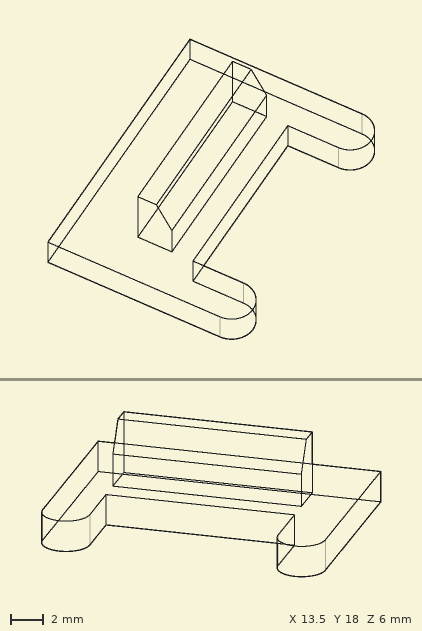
import cadquery as cq

plate_length = 18.0
overall_depth = 13.5
plate_thickness = 2.0

arm_width = plate_length / 6
arm_end_radius = arm_width / 2
notch_width = plate_length - 2 * arm_width
notch_floor_x = 8.48

overall_height = 6.0
rib_back_x = 4.63
rib_thickness = 2.38
rib_top_thickness = 1.3
slope_height = 1.89


def make_plate():
    """Plate body with one arm along each end."""
    body = cq.Workplane("XY").box(
        notch_floor_x, plate_length, plate_thickness, centered=(False, True, False)
    )
    arm_center_y = (plate_length - arm_width) / 2
    for side in (-1, 1):
        body = body.union(make_arm(side * arm_center_y))
    return body


def make_arm(center_y):
    """Straight arm from the back edge, closed by a half-round end."""
    end_center_x = overall_depth - arm_end_radius
    return (
        cq.Workplane("XY")
        .moveTo(0, center_y - arm_end_radius)
        .lineTo(end_center_x, center_y - arm_end_radius)
        .threePointArc((overall_depth, center_y), (end_center_x, center_y + arm_end_radius))
        .lineTo(0, center_y + arm_end_radius)
        .close()
        .extrude(plate_thickness)
    )


def make_rib():
    """Rib profile in XZ, extruded evenly to both sides of the middle."""
    rib_front_x = rib_back_x + rib_thickness
    return (
        cq.Workplane("XZ")
        .moveTo(rib_back_x, 0)
        .lineTo(rib_front_x, 0)
        .lineTo(rib_front_x, overall_height - slope_height)
        .lineTo(rib_back_x + rib_top_thickness, overall_height)
        .lineTo(rib_back_x, overall_height)
        .close()
        .extrude(notch_width / 2, both=True)
    )


result = make_plate().union(make_rib())